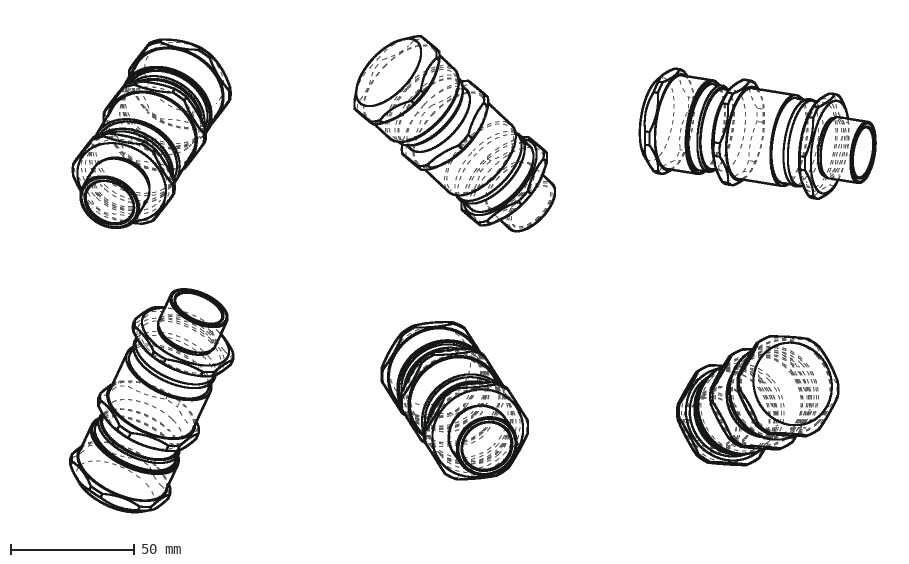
import cadquery as cq
import math

length = 92.1
across_flats = 40.0
corner_radius = 43.2 / 2

thread_radius = 12.6
thread_tip_radius = 24.0 / 2
tip_chamfer = 0.3
thread_end = 13.45
neck_start = 13.9
neck_radius = 24.0 / 2
recess_rim_radius = 10.7
recess_floor_radius = 10.3
recess_depth = 0.4

sleeve_radius = 35.0 / 2
ring_center = 26.9
ring_width = 1.9
ring_height = 0.5

barrel_start = 33.2
barrel_radius = 37.4 / 2
waist_radius = 33.0 / 2
shoulder_start = 66.1
shoulder_end = 70.0
shoulder_radius = 17.8
shoulder_chamfer = 0.9
shoulder_chamfer_drop = 0.7
cap_radius = 38.6 / 2
cap_chamfer_length = 0.6
cap_chamfer_drop = 0.5

entry_collar = (15.0, 19.1, 16.5, 18.7, 20.3, 19.2)
middle_collar = (52.7, 19.25, 54.4, 57.1, 60.1, 16.6)
cap_collar = (84.2, 19.7, 85.8, 87.7, length, 17.0)


def revolve_profile(profile):
    """Revolve a closed half-profile of (radius, Y) about the Y axis."""
    return profile.close().revolve(360, (0, 0, 0), (0, 1, 0))


def hex_collar(front, front_radius, rim_start, rim_end, back, back_radius):
    """Hexagonal collar with flats facing +Z and -Z, its corners turned to a coned rim."""
    turned = revolve_profile(cq.Workplane("XY").polyline([
        (0, front),
        (front_radius, front),
        (corner_radius, rim_start),
        (corner_radius, rim_end),
        (back_radius, back),
        (0, back),
    ]))
    corner_diameter = across_flats / math.cos(math.radians(30))
    hexagon = (
        cq.Workplane("XZ", origin=(0, back, 0))
        .polygon(6, corner_diameter)
        .extrude(back - front)
    )
    return turned.intersect(hexagon)


def turned_body():
    """All round sections, from the threaded tip to the end cap."""
    ring_start = ring_center - ring_width / 2
    ring_end = ring_center + ring_width / 2
    profile = (
        cq.Workplane("XY")
        .moveTo(0, recess_depth)
        .lineTo(recess_floor_radius, recess_depth)
        .lineTo(recess_rim_radius, 0)
        .lineTo(thread_tip_radius, 0)
        .lineTo(thread_radius, tip_chamfer)
        .lineTo(thread_radius, thread_end)
        .lineTo(neck_radius, neck_start)
        .lineTo(neck_radius, entry_collar[0])
        .lineTo(sleeve_radius, entry_collar[0])
        .lineTo(sleeve_radius, ring_start)
        .threePointArc((sleeve_radius + ring_height, ring_center), (sleeve_radius, ring_end))
        .lineTo(sleeve_radius, barrel_start)
        .lineTo(barrel_radius, barrel_start)
        .lineTo(barrel_radius, middle_collar[0])
        .lineTo(waist_radius, middle_collar[0])
        .lineTo(waist_radius, shoulder_start - shoulder_chamfer)
        .lineTo(shoulder_radius - shoulder_chamfer_drop, shoulder_start - shoulder_chamfer)
        .lineTo(shoulder_radius, shoulder_start)
        .lineTo(shoulder_radius, shoulder_end)
        .lineTo(cap_radius - cap_chamfer_drop, shoulder_end)
        .lineTo(cap_radius, shoulder_end + cap_chamfer_length)
        .lineTo(cap_radius, cap_collar[0])
        .lineTo(0, cap_collar[0])
    )
    return revolve_profile(profile)


result = turned_body()
for collar in (entry_collar, middle_collar, cap_collar):
    result = result.union(hex_collar(*collar))